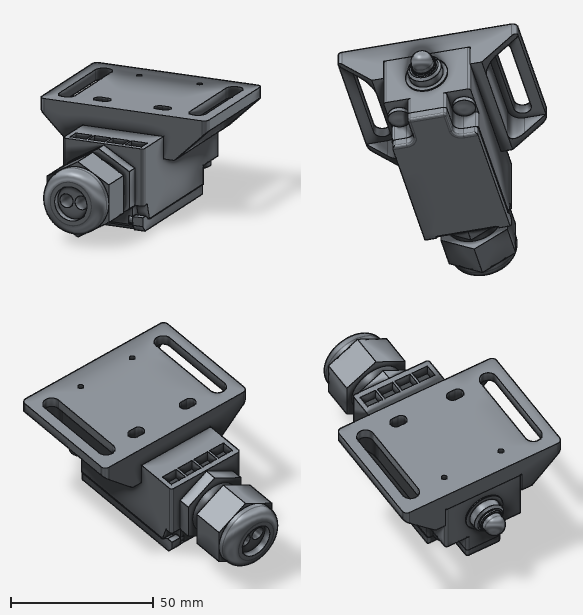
import cadquery as cq
import math


plate_width = 65.0
plate_length = 46.1
plate_top = 38.6
plate_edge_bottom = 34.5
plate_bottom = 22.5
plate_bottom_half_width = 19.9
plate_corner_radius = 1.9
adjust_slot_x = 25.4
adjust_slot_length = 36.4
adjust_slot_width = 6.3
side_pocket_length = 41.0
side_pocket_radius = 4.8
mount_hole_x = 11.7
mount_hole_diameter = 2.0
mount_slot_length = 6.4
mount_slot_width = 4.1
mount_pitch_y = 30.7

housing_width = 31.4
housing_length = 62.5
housing_top = 30.8
seam_z = 3.6
edge_radius = 1.0
window_count = 4
window_pitch = 7.2
window_width = 6.3
window_length = 4.9
window_depth = 4.0
window_y = 4.6

ear_inner_x = 11.4
relief_top = 9.7
relief_top_depth = 3.0
ear_depth = 4.9
ear_top = 5.5
ear_top_depth = 2.4
tongue_bottom = 1.5
tongue_chamfer = 0.9
hinge_pin_radius = 1.4
hinge_pin_length = 1.5

cover_width = 30.8
cover_bevel_height = 2.2
cover_bevel_depth = 1.8

screw_y = 55.0
screw_head_radius = 4.0
screw_rim_height = 1.7
screw_dome_height = 1.3
pocket_clearance = 4.6
pocket_top = 10.6
pocket_corner_radius = 3.2

plunger_z = 20.5
plunger_radius = 3.9
plunger_length = 11.0
flange_radius = 7.6
flange_thickness = 0.5
bushing_radius = 6.1
bushing_barrel_end = 3.5
bushing_taper_end = 4.4
bushing_taper_radius = 5.2
bushing_lip_radius = 4.5
bushing_length = 5.5
bushing_lip_chamfer = 0.3

gland_x = 0.3
gland_z = 16.5
hex_across_flats = 24.0
gland_flange_thickness = 4.5
neck_radius = 10.0
neck_length = 4.7
nut_hex_length = 12.3
nut_cap_length = 5.9
cap_round = 4.0
cable_bore_radius = 6.3
cable_seal_setback = 2.7
cable_hole_radius = 2.5
cable_hole_offset = 2.9

SIDES = (-1, 1)
plate_center_y = housing_length - plate_length / 2
pocket_inner_x = mount_hole_x - pocket_clearance
pocket_front_y = screw_y - pocket_clearance
hinge_pin_z = ear_top - hinge_pin_radius
hinge_depth = 2 * hinge_pin_radius
ear_width = cover_width / 2 - ear_inner_x
neck_end = gland_flange_thickness + neck_length
nut_length = nut_hex_length + nut_cap_length


def box_between(x_range, y_range, z_range):
    """Box spanning the given (low, high) pairs along each axis."""
    lows, highs = zip(x_range, y_range, z_range)
    sizes = [high - low for low, high in zip(lows, highs)]
    return cq.Workplane("XY").box(*sizes, centered=False).translate(lows)


def prism_along_x(points_yz, x_start, width):
    """Outline in the YZ plane extruded along +X from x_start."""
    return cq.Workplane("YZ", origin=(x_start, 0, 0)).polyline(points_yz).close().extrude(width)


def mirrored(side, shape):
    """The shape itself on the +X side, its mirror image on the -X side."""
    return shape if side > 0 else shape.mirror("YZ")


def make_plate():
    half_width = plate_width / 2
    outline = [
        (-half_width, plate_top),
        (half_width, plate_top),
        (half_width, plate_edge_bottom),
        (plate_bottom_half_width, plate_bottom),
        (-plate_bottom_half_width, plate_bottom),
        (-half_width, plate_edge_bottom),
    ]
    block = cq.Workplane("XZ", origin=(0, housing_length, 0)).polyline(outline).close().extrude(plate_length)
    rounded = (
        cq.Workplane("XY", origin=(0, plate_center_y, plate_bottom))
        .rect(plate_width, plate_length)
        .extrude(plate_top - plate_bottom)
        .edges("|Z")
        .fillet(plate_corner_radius)
    )
    channel = box_between(
        (-housing_width / 2, housing_width / 2), (0, housing_length), (0, housing_top)
    )
    plate = block.intersect(rounded).cut(channel)
    for side in SIDES:
        plate = plate.cut(mirrored(side, make_side_pocket()))
    return cut_plate_holes(plate)


def make_side_pocket():
    """Clearance under the thin side flange, open sideways and downwards."""
    half_length = side_pocket_length / 2
    return (
        box_between(
            (plate_bottom_half_width, plate_width),
            (plate_center_y - half_length, plate_center_y + half_length),
            (0, plate_edge_bottom),
        )
        .edges("|Z and <X")
        .fillet(side_pocket_radius)
    )


def cut_plate_holes(plate):
    top = cq.Workplane("XY", origin=(0, 0, plate_top))
    adjust_slots = (
        top.pushPoints([(side * adjust_slot_x, plate_center_y) for side in SIDES])
        .slot2D(adjust_slot_length, adjust_slot_width, 90)
        .extrude(-plate_top)
    )
    round_holes = (
        top.pushPoints([(side * mount_hole_x, screw_y) for side in SIDES])
        .circle(mount_hole_diameter / 2)
        .extrude(-plate_top)
    )
    mount_slots = (
        top.pushPoints([(side * mount_hole_x, screw_y - mount_pitch_y) for side in SIDES])
        .slot2D(mount_slot_length, mount_slot_width)
        .extrude(-plate_top)
    )
    return plate.cut(adjust_slots).cut(round_holes).cut(mount_slots)


def make_corner_pocket():
    """Room for a screw head at a rear lower corner on the +X side."""
    return (
        box_between(
            (pocket_inner_x, housing_width),
            (pocket_front_y, 2 * housing_length),
            (-pocket_top, pocket_top),
        )
        .edges("|Z and <X and <Y")
        .fillet(pocket_corner_radius)
    )


def make_ear_relief():
    """Cutaway at a front lower corner of the housing on the +X side."""
    outline = [(0, 0), (0, relief_top), (relief_top_depth, relief_top), (ear_depth, seam_z), (ear_depth, 0)]
    return prism_along_x(outline, ear_inner_x, housing_width)


def make_hinge_pin():
    """Pin on the inner side of the +X ear, tangent to the front face."""
    return (
        cq.Workplane("YZ", origin=(ear_inner_x - hinge_pin_length, 0, 0))
        .center(hinge_pin_radius, hinge_pin_z)
        .circle(hinge_pin_radius)
        .extrude(hinge_pin_length)
    )


def make_hinge_slot():
    """Slot for the hinge pin, open to the front."""
    mouth = box_between(
        (ear_inner_x - hinge_pin_length, ear_inner_x),
        (0, hinge_pin_radius),
        (hinge_pin_z - hinge_pin_radius, ear_top),
    )
    return mouth.union(make_hinge_pin())


def make_tongue_space(bottom):
    """Space between the cover's ears from the given height up to the seam."""
    return (
        box_between((-ear_inner_x, ear_inner_x), (0, hinge_depth), (bottom, seam_z))
        .edges("|Z and >Y")
        .fillet(edge_radius)
    )


def around_pocket_front():
    """Selector for edges near the front walls of the corner pockets."""
    return cq.selectors.BoxSelector(
        (-housing_width, pocket_front_y - edge_radius, 0),
        (housing_width, pocket_front_y + edge_radius, housing_top),
    )


def make_housing():
    half_width = housing_width / 2
    housing = box_between((-half_width, half_width), (0, housing_length), (seam_z, housing_top))
    for side in SIDES:
        housing = housing.cut(mirrored(side, make_corner_pocket()))
    housing = housing.edges("|Z").edges("<Y or >Y").fillet(edge_radius)
    housing = housing.edges("|Z").edges(">X or <X").edges(around_pocket_front()).fillet(edge_radius)
    for side in SIDES:
        housing = housing.cut(mirrored(side, make_ear_relief()))
    tongue = make_tongue_space(tongue_bottom).edges("|X and <Y and <Z").chamfer(tongue_chamfer)
    housing = housing.union(tongue)
    for side in SIDES:
        housing = housing.cut(mirrored(side, make_hinge_slot()))
    windows = (
        cq.Workplane("XY", origin=(0, window_y, housing_top))
        .rarray(window_pitch, 1, window_count, 1)
        .rect(window_width, window_length)
        .extrude(-window_depth)
    )
    return housing.cut(windows)


def make_cover_footprint():
    """Upright block with rounded corners beside the pockets."""
    half_width = cover_width / 2
    footprint = box_between((-half_width, half_width), (0, housing_length), (0, seam_z))
    for side in SIDES:
        footprint = footprint.cut(mirrored(side, make_corner_pocket()))
    return footprint.edges("|Z").edges(">X or <X").edges(around_pocket_front()).fillet(edge_radius)


def make_cover():
    outline = [
        (0, cover_bevel_height),
        (0, seam_z),
        (housing_length, seam_z),
        (housing_length, 0),
        (cover_bevel_depth, 0),
    ]
    ear_outline = [(0, seam_z), (0, ear_top), (ear_top_depth, ear_top), (ear_depth, seam_z)]
    cover = prism_along_x(outline, -cover_width / 2, cover_width)
    for side in SIDES:
        cover = cover.cut(mirrored(side, make_corner_pocket()))
    cover = cover.edges("|Z and >Y").fillet(edge_radius)
    cover = cover.edges("<Z and >Y").fillet(edge_radius)
    cover = cover.intersect(make_cover_footprint())
    cover = cover.cut(make_tongue_space(0))
    for side in SIDES:
        ear = prism_along_x(ear_outline, ear_inner_x, ear_width).union(make_hinge_pin())
        cover = cover.union(mirrored(side, ear))
    return cover


def make_screw_head(x):
    """Domed head seated on the ceiling of a corner pocket."""
    rim_z = -screw_rim_height
    dome_z = rim_z - screw_dome_height
    dome_radius = (screw_head_radius ** 2 + screw_dome_height ** 2) / (2 * screw_dome_height)
    half_angle = math.asin(screw_head_radius / dome_radius) / 2
    dome_middle = (
        dome_radius * math.sin(half_angle),
        dome_z + dome_radius * (1 - math.cos(half_angle)),
    )
    return (
        cq.Workplane("XZ")
        .moveTo(0, 0)
        .lineTo(screw_head_radius, 0)
        .lineTo(screw_head_radius, rim_z)
        .threePointArc(dome_middle, (0, dome_z))
        .close()
        .revolve(360, (0, 0), (0, 1))
        .translate((x, screw_y, pocket_top))
    )


def make_plunger_unit():
    """Turned plunger and bushing, outlined as radius against distance from the rear face."""
    tip_center = plunger_length - plunger_radius
    tip_middle = (
        plunger_radius * math.sin(math.pi / 4),
        tip_center + plunger_radius * math.cos(math.pi / 4),
    )
    profile = (
        cq.Workplane("XY", origin=(0, housing_length, plunger_z))
        .lineTo(flange_radius, 0)
        .lineTo(flange_radius, flange_thickness)
        .lineTo(bushing_radius, flange_thickness)
        .lineTo(bushing_radius, bushing_barrel_end)
        .lineTo(bushing_taper_radius, bushing_taper_end)
        .lineTo(bushing_lip_radius, bushing_taper_end)
        .lineTo(bushing_lip_radius, bushing_length - bushing_lip_chamfer)
        .lineTo(bushing_lip_radius - bushing_lip_chamfer, bushing_length)
        .lineTo(plunger_radius, bushing_length)
        .lineTo(plunger_radius, tip_center)
        .threePointArc(tip_middle, (0, plunger_length))
        .close()
    )
    return profile.revolve(360, (0, 0), (0, 1))


def gland_plane(distance):
    """Plane across the gland axis, the given distance out from the housing."""
    return cq.Workplane("XZ", origin=(gland_x, -distance, gland_z))


def make_hexagon(distance, length):
    """Hexagonal prism on the gland axis with corners up and down."""
    corner_diameter = hex_across_flats / math.cos(math.pi / 6)
    plane = gland_plane(distance).transformed(rotate=(0, 0, 90))
    return plane.polygon(6, corner_diameter).extrude(length)


def make_gland_body():
    neck = gland_plane(gland_flange_thickness).circle(neck_radius).extrude(neck_length)
    return make_hexagon(0, gland_flange_thickness).union(neck)


def make_gland_nut():
    cap = (
        gland_plane(neck_end + nut_hex_length)
        .circle(hex_across_flats / 2)
        .extrude(nut_cap_length)
        .faces("<Y")
        .edges()
        .fillet(cap_round)
    )
    return make_hexagon(neck_end, nut_hex_length).union(cap).cut(make_bore_core(nut_length))


def make_bore_core(length):
    """Cylinder filling the nut's bore from the neck outwards."""
    return gland_plane(neck_end).circle(cable_bore_radius).extrude(length)


def make_cable_seal():
    """Plug in the nut's bore with a hole for each of two cables, set back from the mouth."""
    cable_holes = (
        gland_plane(neck_end)
        .pushPoints([(side * cable_hole_offset, 0) for side in SIDES])
        .circle(cable_hole_radius)
        .extrude(nut_length)
    )
    return make_bore_core(nut_length - cable_seal_setback).cut(cable_holes)


plate = make_plate()
housing = make_housing()
cover = make_cover()
plunger_unit = make_plunger_unit()
gland_body = make_gland_body()
gland_nut = make_gland_nut()
cable_seal = make_cable_seal()
screw_heads = [make_screw_head(side * mount_hole_x).val() for side in SIDES]

result = cq.Compound.makeCompound([
    plate.val(),
    housing.val(),
    cover.val(),
    plunger_unit.val(),
    gland_body.val(),
    gland_nut.val(),
    cable_seal.val(),
    *screw_heads,
])